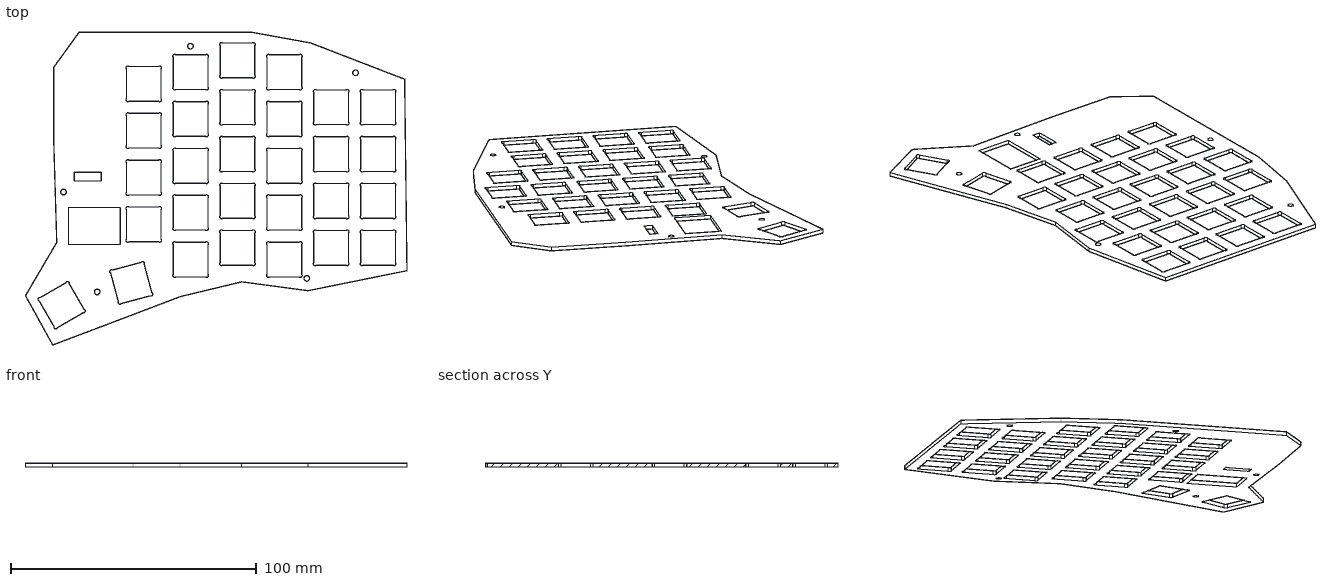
import cadquery as cq
import math

plate_length = 155.19
plate_width = 127.28
plate_thickness = 1.6
right_x = plate_length / 2
left_x = -right_x
back_y = plate_width / 2
front_y = -back_y

left_edge_x = -66.1
outline = [
    (-66.5, front_y),
    (-33.9, -51.3),
    (-14.75, -44.0),
    (10.3, -37.95),
    (37.35, -41.55),
    (right_x, -33.4),
    (76.65, 44.5),
    (38.45, 59.25),
    (14.3, back_y),
    (-55.75, back_y),
    (left_edge_x, 49.35),
    (left_edge_x, 18.7),
    (-64.9, -21.9),
    (left_x, -43.5),
]

key_pitch = 19.05
switch_size = 14.0
relief_inset = 0.5
relief_radius = math.hypot(relief_inset, relief_inset)
column_stagger = key_pitch / 4
first_column_x = -29.47
lowest_key_y = -28.83

key_columns = [(3, 4), (0, 5), (1, 5), (0, 5), (1, 4), (1, 4)]

thumb_keys = [(-34.55, -38.35, 15), (-62.85, -47.4, 30)]

controller_centre = (-49.55, -15.2)
controller_size = (21.0, 15.0)
slot_centre = (-52.25, 4.9)
slot_size = (10.8, 3.4)

hole_diameter = 2.2
hole_centres = [(-10.5, 57.9), (56.65, 47.1), (-62.1, -1.4), (36.8, -36.5), (-48.4, -42.0)]


def rectangular_cutter(size, centre):
    return cq.Workplane("XY").center(*centre).rect(*size).extrude(plate_thickness)


def switch_cutter(x, y, angle=0):
    relief_spacing = switch_size - 2 * relief_inset
    square = cq.Workplane("XY").rect(switch_size, switch_size).extrude(plate_thickness)
    reliefs = (
        cq.Workplane("XY")
        .rect(relief_spacing, relief_spacing, forConstruction=True)
        .vertices()
        .circle(relief_radius)
        .extrude(plate_thickness)
    )
    cutter = square.union(reliefs)
    return cutter.rotate((0, 0, 0), (0, 0, 1), angle).translate((x, y, 0))


def key_positions():
    positions = []
    for column, (stagger_steps, key_count) in enumerate(key_columns):
        x = first_column_x + column * key_pitch
        bottom_y = lowest_key_y + stagger_steps * column_stagger
        for row in range(key_count):
            positions.append((x, bottom_y + row * key_pitch))
    return positions


plate = cq.Workplane("XY").polyline(outline).close().extrude(plate_thickness)

for x, y in key_positions():
    plate = plate.cut(switch_cutter(x, y))

for x, y, angle in thumb_keys:
    plate = plate.cut(switch_cutter(x, y, angle))

plate = plate.cut(rectangular_cutter(controller_size, controller_centre))
plate = plate.cut(rectangular_cutter(slot_size, slot_centre))

mounting_holes = (
    cq.Workplane("XY").pushPoints(hole_centres).circle(hole_diameter / 2).extrude(plate_thickness)
)
result = plate.cut(mounting_holes)